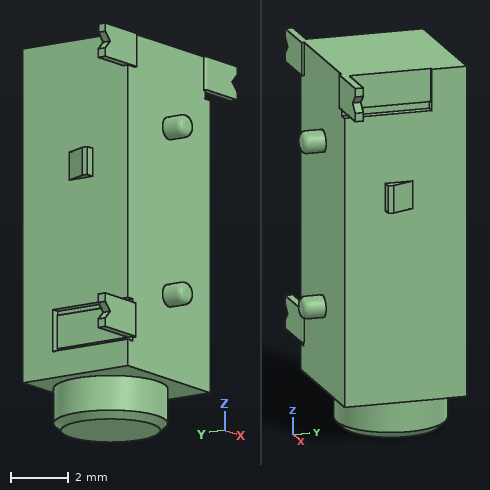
import cadquery as cq

TOTAL_HEIGHT = 13.5
BODY_WIDTH = 5.0
BODY_DEPTH = 4.5
BARREL_LENGTH = 1.5
BARREL_DIAMETER = 4.0
BARREL_CHAMFER = 0.25

PIN_DIAMETER = 0.8
PIN_LENGTH = 0.81
PIN_TIP_RADIUS = 0.2
PIN_DROPS = (3.0, 9.0)

WEDGE_PROJECTION = 0.34
WEDGE_START = 2.0
WEDGE_CREST = 2.8
WEDGE_END = 3.0
WEDGE_HEIGHT = 1.0
WEDGE_DROP = 4.0

TERMINAL_SPAN = 8.0
TERMINAL_HEIGHT = 1.2
SHEET = 0.3
LEAD_OVERHANG = 0.1
LEAD_INNER_X = 2.09
LOWER_PLATE_THICKNESS = 0.14
BEND_RADIUS = 0.1
NOTCH_DEPTH = 0.3
NOTCH_HEIGHT = 0.6

SLOT_FLOOR_X = 2.2
SLOT_HEIGHT = 1.5
SLOT_BACK_WALL = 1.3
LOWER_TERMINAL_DROP = 10.3

HALF_WIDTH = BODY_WIDTH / 2
HALF_SPAN = TERMINAL_SPAN / 2
SLOT_DEPTH = BODY_DEPTH - SLOT_BACK_WALL
UPPER_TERMINAL_Z = TOTAL_HEIGHT - TERMINAL_HEIGHT / 2
LOWER_TERMINAL_Z = TOTAL_HEIGHT - LOWER_TERMINAL_DROP


def box(x_min, x_max, y_min, y_max, z_min, z_max):
    """Box between the given limits."""
    size = (x_max - x_min, y_max - y_min, z_max - z_min)
    return cq.Workplane("XY").box(*size, centered=False).translate((x_min, y_min, z_min))


def mirrored(shape):
    """The same feature on the -X side."""
    return shape.mirror("YZ")


def barrel():
    """Plug barrel, tangent to the plane of the back face."""
    return (
        cq.Workplane("XY")
        .center(0, BODY_DEPTH - BARREL_DIAMETER / 2)
        .circle(BARREL_DIAMETER / 2)
        .extrude(BARREL_LENGTH)
        .faces("<Z")
        .chamfer(BARREL_CHAMFER)
    )


def pin(drop):
    """Locating pin with a rounded tip, pointing toward -Y."""
    return (
        cq.Workplane("XZ")
        .center(0, TOTAL_HEIGHT - drop)
        .circle(PIN_DIAMETER / 2)
        .extrude(PIN_LENGTH)
        .faces("<Y")
        .edges()
        .fillet(PIN_TIP_RADIUS)
    )


def wedge():
    """Snap wedge on the +X side, rising toward the front."""
    crest_x = HALF_WIDTH + WEDGE_PROJECTION
    profile = [
        (HALF_WIDTH, BODY_DEPTH - WEDGE_START),
        (crest_x, BODY_DEPTH - WEDGE_CREST),
        (crest_x, BODY_DEPTH - WEDGE_END),
        (HALF_WIDTH, BODY_DEPTH - WEDGE_END),
    ]
    center_z = TOTAL_HEIGHT - WEDGE_DROP - WEDGE_HEIGHT / 2
    return (
        cq.Workplane("XY", origin=(0, 0, center_z))
        .polyline(profile)
        .close()
        .extrude(WEDGE_HEIGHT / 2, both=True)
    )


def slot(z_min, z_max):
    """Cutter for a terminal slot on the +X side, open to the front."""
    return box(SLOT_FLOOR_X, HALF_WIDTH, 0, SLOT_DEPTH, z_min, z_max)


def lead(center_z):
    """Flat lead on the +X side with a V notch in its outer end."""
    z_min = center_z - TERMINAL_HEIGHT / 2
    z_max = center_z + TERMINAL_HEIGHT / 2
    front_y = -LEAD_OVERHANG
    plate = box(LEAD_INNER_X, HALF_SPAN, front_y, front_y + SHEET, z_min, z_max)
    notch = (
        cq.Workplane("XZ", origin=(0, front_y + SHEET, center_z))
        .moveTo(HALF_SPAN, NOTCH_HEIGHT / 2)
        .lineTo(HALF_SPAN - NOTCH_DEPTH, 0)
        .lineTo(HALF_SPAN, -NOTCH_HEIGHT / 2)
        .close()
        .extrude(SHEET)
    )
    return plate.cut(notch)


def bent_terminal(center_z, plate_thickness):
    """Lead joined by a rounded bend to a side plate lying in its slot."""
    plate = box(
        LEAD_INNER_X,
        LEAD_INNER_X + plate_thickness,
        -LEAD_OVERHANG,
        SLOT_DEPTH,
        center_z - TERMINAL_HEIGHT / 2,
        center_z + TERMINAL_HEIGHT / 2,
    )
    terminal = lead(center_z).union(plate)
    outer_corner = (LEAD_INNER_X, -LEAD_OVERHANG, center_z)
    inner_corner = (LEAD_INNER_X + plate_thickness, SHEET - LEAD_OVERHANG, center_z)
    for corner in (outer_corner, inner_corner):
        bend_edge = cq.selectors.NearestToPointSelector(corner)
        terminal = terminal.edges("|Z").edges(bend_edge).fillet(BEND_RADIUS)
    return terminal


upper_slot = slot(TOTAL_HEIGHT - SLOT_HEIGHT, TOTAL_HEIGHT)
lower_slot = slot(LOWER_TERMINAL_Z - SLOT_HEIGHT / 2, LOWER_TERMINAL_Z + SLOT_HEIGHT / 2)

result = box(-HALF_WIDTH, HALF_WIDTH, 0, BODY_DEPTH, BARREL_LENGTH, TOTAL_HEIGHT)
result = result.cut(upper_slot).cut(mirrored(lower_slot)).union(barrel())
for pin_drop in PIN_DROPS:
    result = result.union(pin(pin_drop))
result = result.union(wedge()).union(mirrored(wedge()))
result = result.union(bent_terminal(UPPER_TERMINAL_Z, SHEET))
result = result.union(mirrored(bent_terminal(LOWER_TERMINAL_Z, LOWER_PLATE_THICKNESS)))
result = result.union(mirrored(lead(UPPER_TERMINAL_Z)))